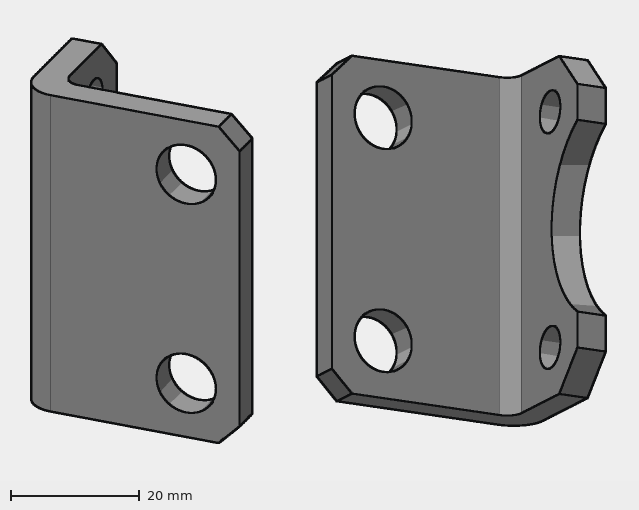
import cadquery as cq

length_x = 37.0
depth_y = 26.0
height_z = 54.5
thickness = 5.0
outer_bend_radius = 5.0
inner_bend_radius = 2.5

wide_corner_chamfer = 3.55
wide_hole_diameter = 10.05
wide_hole_edge_distance = 9.05
wide_hole_spacing = 35.95

short_corner_chamfer = 6.0
short_hole_diameter = 6.75
short_hole_from_wide_face = 17.0
short_hole_spacing = 38.0
notch_depth = 8.5
notch_radius = 18.3


def bent_plate():
    """L-shaped plate with a rounded bend, centred on Z = 0."""
    plate = (
        cq.Workplane("XY")
        .polyline([
            (0, 0),
            (length_x, 0),
            (length_x, thickness),
            (thickness, thickness),
            (thickness, depth_y),
            (0, depth_y),
        ])
        .close()
        .extrude(height_z / 2, both=True)
    )
    outer_bend = cq.selectors.NearestToPointSelector((0, 0, 0))
    inner_bend = cq.selectors.NearestToPointSelector((thickness, thickness, 0))
    plate = plate.edges("|Z").edges(inner_bend).fillet(inner_bend_radius)
    return plate.edges("|Z").edges(outer_bend).fillet(outer_bend_radius)


def hole_pair(plane, across, spacing, diameter, depth):
    """Two cylinders placed symmetrically about Z = 0, running through one leg."""
    return (
        cq.Workplane(plane)
        .pushPoints([(across, -spacing / 2), (across, spacing / 2)])
        .circle(diameter / 2)
        .extrude(depth)
    )


result = bent_plate()
result = result.faces(">X").edges("|Y").chamfer(wide_corner_chamfer)
result = result.faces(">Y").edges("|X").chamfer(short_corner_chamfer)

wide_holes = hole_pair(
    "XZ", length_x - wide_hole_edge_distance, wide_hole_spacing, wide_hole_diameter, -thickness
)
short_holes = hole_pair(
    "YZ", short_hole_from_wide_face, short_hole_spacing, short_hole_diameter, thickness
)

notch_center_y = depth_y - notch_depth + notch_radius
notch = (
    cq.Workplane("YZ")
    .center(notch_center_y, 0)
    .circle(notch_radius)
    .extrude(thickness)
)

result = result.cut(wide_holes).cut(short_holes).cut(notch)